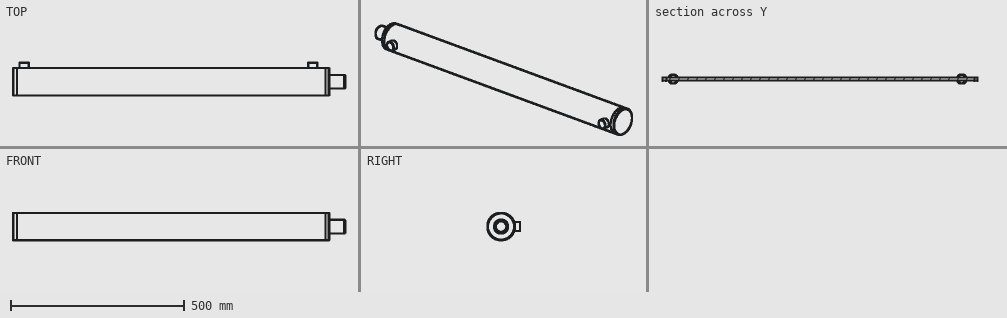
import cadquery as cq

overall_length = 960.0
body_diameter = 80.0
body_length = 913.0
rear_cap_thickness = 12.0
front_cap_thickness = 11.0
cap_chamfer = 2.0
rod_diameter = 40.0
rod_chamfer = 5.0
port_diameter = 27.0
port_height = 15.0
port_chamfer = 1.0
rear_port_x = 33.0
front_port_x = 865.0

body_radius = body_diameter / 2
barrel_length = body_length - rear_cap_thickness - front_cap_thickness
rod_length = overall_length - body_length
port_top_y = body_radius + port_height


def round_bar(start_x, diameter, length):
    """Solid round bar on the cylinder axis, running towards +X."""
    return cq.Workplane("YZ").workplane(offset=start_x).circle(diameter / 2).extrude(length)


def make_barrel():
    """Main length of the cylinder, between the two end caps."""
    return round_bar(rear_cap_thickness, body_diameter, barrel_length)


def make_end_cap(start_x, thickness, outer_face):
    """Disc that closes one end of the barrel, chamfered around its outer face."""
    return round_bar(start_x, body_diameter, thickness).faces(outer_face).chamfer(cap_chamfer)


def make_rod():
    """Piston rod standing out of the front cap, chamfered at its free end."""
    return round_bar(body_length, rod_diameter, rod_length).faces(">X").chamfer(rod_chamfer)


def make_port(center_x):
    """Round boss on the +Y side, its flat foot touching the barrel along a line and its rim chamfered."""
    boss = cq.Workplane("XZ", origin=(center_x, port_top_y, 0)).circle(port_diameter / 2).extrude(port_height)
    return boss.faces(">Y").chamfer(port_chamfer)


barrel = make_barrel()
rod = make_rod()
end_caps = [
    make_end_cap(0, rear_cap_thickness, "<X"),
    make_end_cap(body_length - front_cap_thickness, front_cap_thickness, ">X"),
]
ports = [make_port(center_x) for center_x in (rear_port_x, front_port_x)]

result = cq.Compound.makeCompound(
    [
        barrel.val(),
        rod.val(),
        *[cap.val() for cap in end_caps],
        *[port.val() for port in ports],
    ]
)